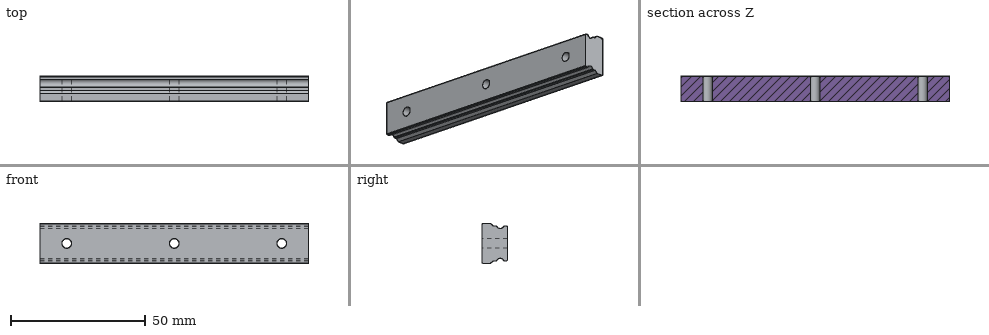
import cadquery as cq
import math

length = 100.0
depth = 9.5
base_width = 15.0

head_width = 13.1
edge_chamfer = 0.3
base_side_end = 3.1
shoulder_end = 4.2
lip_start = 5.2
groove_start = 5.5
groove_end = 8.2
groove_bottom = 6.8
groove_depth = 0.95

hole_diameter = 3.5
hole_pitch = 40.0
hole_count = 3

front = -depth / 2
back = depth / 2
half_base = base_width / 2
half_head = head_width / 2

groove_radius = ((groove_end - groove_bottom) ** 2 + groove_depth**2) / (2 * groove_depth)
groove_rise = groove_radius - math.sqrt(groove_radius**2 - (groove_bottom - groove_start) ** 2)
half_floor = half_head - groove_depth


def rail_half():
    """Upper half of the rail (Z >= 0), extruded along X."""
    return (
        cq.Workplane("YZ", origin=(-length / 2, 0, 0))
        .moveTo(front, 0)
        .lineTo(front, half_base - edge_chamfer)
        .lineTo(front + edge_chamfer, half_base)
        .lineTo(front + base_side_end, half_base)
        .lineTo(front + shoulder_end, half_head)
        .lineTo(front + lip_start, half_head)
        .lineTo(front + groove_start, half_floor + groove_rise)
        .threePointArc(
            (front + groove_bottom, half_floor),
            (front + groove_end, half_head),
        )
        .lineTo(back - edge_chamfer, half_head)
        .lineTo(back, half_head - edge_chamfer)
        .lineTo(back, 0)
        .close()
        .extrude(length)
    )


def mounting_holes():
    """Row of plain cylinders running through the rail along Y."""
    return (
        cq.Workplane("XZ", origin=(0, back, 0))
        .rarray(hole_pitch, 1, hole_count, 1)
        .circle(hole_diameter / 2)
        .extrude(depth)
    )


upper_half = rail_half()
rail = upper_half.union(upper_half.mirror("XY")).clean()
result = rail.cut(mounting_holes())